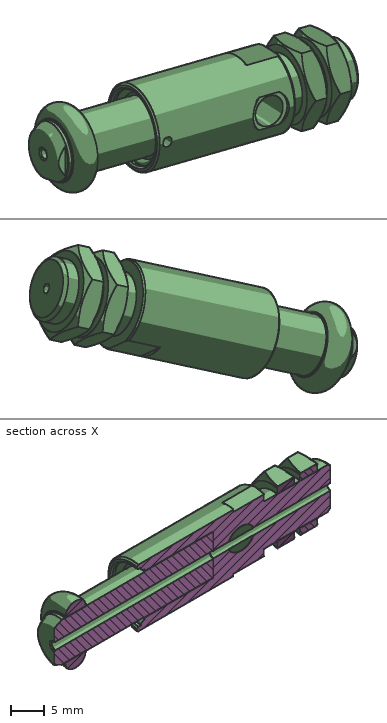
import cadquery as cq
import math

OVERALL_LENGTH = 54.2

BODY_DIA = 14.0
BODY_START = 13.0
BODY_END = 38.0
SHOULDER_CHAMFER_LENGTH = 0.3
SHOULDER_CHAMFER_DEPTH = 0.2
STEM_DIA = 10.0
STEM_CHAMFER = 0.54
BODY_FLAT_WIDTH = 13.0
BODY_FLAT_LENGTH = 6.0

MOUTH_DIA = 12.0
MOUTH_CHAMFER = 0.3
MOUTH_DEPTH = 0.8
LIP_DIA = 10.4
LIP_RADIUS = 0.75

PORT_DIA = 5.0
SPOTFACE_DIA = 6.5
SPOTFACE_DEPTH = 0.55
PORT_POSITION = 17.5
VENT_DIA = 1.6
VENT_POSITION = 36.3

PASSAGE_DIA = 1.5
NOSE_PASSAGE_DIA = 1.65
PASSAGE_CHAMFER = 0.22

NUT_FLAT_WIDTH = 13.0
NUT_THICKNESS = 3.5
NUT_FACE_DIA = 12.5
NUT_CHAMFER_ANGLE = 30.0
NUT_POSITIONS = (2.5, 7.0)

ROD_DIA = 9.5
ROD_START = 23.0
NOSE_START = 52.7
NOSE_TIP_DIA = 7.8
NOSE_TIP_FILLET = 0.2
NOSE_FLAT_WIDTH = 8.0
NOSE_FLAT_START = 52.8

BUMPER_DIA = 14.0
BUMPER_START = 48.0
BUMPER_THICKNESS = 4.0
BUMPER_LIP = 0.15


def revolve_about_y(outline):
    """Turn a closed outline, drawn with X as radius, around the Y axis."""
    return outline.close().revolve(360, (0, 0, 0), (0, 1, 0))


def cylinder(diameter, start, end):
    """Round bar on the Y axis between two distances from the rear end."""
    bar = cq.Workplane("XZ", origin=(0, -start, 0)).circle(diameter / 2)
    return bar.extrude(end - start)


def side_hole(diameter, position, inner_x):
    """Cutter for a hole along X, from inner_x out to the +X side of the body."""
    hole = cq.Workplane("YZ", origin=(inner_x, -position, 0)).circle(diameter / 2)
    return hole.extrude(BODY_DIA / 2 - inner_x)


def side_flats(width, start, end, bar_dia):
    """Pair of cutters that leave the given width along Z between two axial distances."""
    length = end - start
    depth = bar_dia - width / 2
    offset = (width + depth) / 2
    centers = [(0, -(start + length / 2), side * offset) for side in (1, -1)]
    return cq.Workplane("XY").pushPoints([(0, 0)]).newObject(
        [cq.Solid.makeBox(2 * bar_dia, length, depth,
                          cq.Vector(x - bar_dia, y - length / 2, z - depth / 2))
         for x, y, z in centers]
    ).combine()


def make_housing():
    stem_radius = STEM_DIA / 2
    body_radius = BODY_DIA / 2
    housing = revolve_about_y(
        cq.Workplane("XY")
        .lineTo(stem_radius - STEM_CHAMFER, 0)
        .lineTo(stem_radius, -STEM_CHAMFER)
        .lineTo(stem_radius, -BODY_START)
        .lineTo(body_radius - SHOULDER_CHAMFER_DEPTH, -BODY_START)
        .lineTo(body_radius, -BODY_START - SHOULDER_CHAMFER_LENGTH)
        .lineTo(body_radius, -BODY_END + MOUTH_CHAMFER)
        .lineTo(body_radius - MOUTH_CHAMFER, -BODY_END)
        .lineTo(0, -BODY_END)
    )
    flats_end = BODY_START + BODY_FLAT_LENGTH
    housing = housing.cut(side_flats(BODY_FLAT_WIDTH, BODY_START, flats_end, BODY_DIA))

    rod_radius = ROD_DIA / 2
    mouth_radius = MOUTH_DIA / 2
    mouth_floor = BODY_END - MOUTH_DEPTH
    lip_bore_radius = LIP_DIA / 2
    lip_top = lip_bore_radius + LIP_RADIUS
    lip_mid = LIP_RADIUS * (1 - math.sqrt(0.5))
    rod_bore = revolve_about_y(
        cq.Workplane("XY")
        .moveTo(0, -ROD_START)
        .lineTo(rod_radius, -ROD_START)
        .lineTo(rod_radius, -mouth_floor + LIP_RADIUS)
        .lineTo(lip_bore_radius, -mouth_floor + LIP_RADIUS)
        .threePointArc((lip_bore_radius + lip_mid, -mouth_floor + lip_mid), (lip_top, -mouth_floor))
        .lineTo(mouth_radius, -mouth_floor)
        .lineTo(mouth_radius, -BODY_END + MOUTH_CHAMFER)
        .lineTo(mouth_radius + MOUTH_CHAMFER, -BODY_END)
        .lineTo(0, -BODY_END)
    )
    housing = housing.cut(rod_bore).cut(cylinder(PASSAGE_DIA, 0, ROD_START))

    spotface_x = body_radius - SPOTFACE_DEPTH
    housing = housing.cut(side_hole(SPOTFACE_DIA, PORT_POSITION, spotface_x))
    housing = housing.cut(side_hole(PORT_DIA, PORT_POSITION, 0))
    return housing.cut(side_hole(VENT_DIA, VENT_POSITION, rod_radius))


def make_nut(start):
    corner_dia = NUT_FLAT_WIDTH / math.cos(math.pi / 6)
    hexagon = (
        cq.Workplane("XZ", origin=(0, -start, 0))
        .polygon(6, corner_dia)
        .extrude(NUT_THICKNESS)
    )
    face_radius = NUT_FACE_DIA / 2
    corner_radius = corner_dia / 2
    corner_drop = (corner_radius - face_radius) * math.tan(math.radians(NUT_CHAMFER_ANGLE))
    end = start + NUT_THICKNESS
    chamfered_blank = revolve_about_y(
        cq.Workplane("XY")
        .moveTo(0, -start)
        .lineTo(face_radius, -start)
        .lineTo(corner_radius, -start - corner_drop)
        .lineTo(corner_radius, -end + corner_drop)
        .lineTo(face_radius, -end)
        .lineTo(0, -end)
    )
    return hexagon.intersect(chamfered_blank).cut(cylinder(STEM_DIA, start, end))


def make_plunger():
    rod_radius = ROD_DIA / 2
    plunger = revolve_about_y(
        cq.Workplane("XY")
        .moveTo(0, -ROD_START)
        .lineTo(rod_radius, -ROD_START)
        .lineTo(rod_radius, -NOSE_START)
        .lineTo(NOSE_TIP_DIA / 2, -OVERALL_LENGTH)
        .lineTo(0, -OVERALL_LENGTH)
    )
    plunger = plunger.faces("<Y").edges().fillet(NOSE_TIP_FILLET)
    flats = side_flats(NOSE_FLAT_WIDTH, NOSE_FLAT_START, OVERALL_LENGTH, ROD_DIA)
    plunger = plunger.cut(flats.rotate((0, 0, 0), (0, 1, 0), 90))
    passage = cylinder(NOSE_PASSAGE_DIA, ROD_START, OVERALL_LENGTH)
    mouth_radius = NOSE_PASSAGE_DIA / 2 + PASSAGE_CHAMFER
    mouth = revolve_about_y(
        cq.Workplane("XY")
        .moveTo(0, -OVERALL_LENGTH)
        .lineTo(mouth_radius, -OVERALL_LENGTH)
        .lineTo(0, -OVERALL_LENGTH + mouth_radius)
    )
    return plunger.cut(passage).cut(mouth)


def make_bumper():
    rim_radius = BUMPER_THICKNESS / 2
    bore_radius = ROD_DIA / 2
    outer_radius = BUMPER_DIA / 2
    flat_radius = outer_radius - rim_radius
    end = BUMPER_START + BUMPER_THICKNESS
    return revolve_about_y(
        cq.Workplane("XY")
        .moveTo(bore_radius, -BUMPER_START + BUMPER_LIP)
        .lineTo(flat_radius, -BUMPER_START + BUMPER_LIP)
        .lineTo(flat_radius, -BUMPER_START)
        .threePointArc((outer_radius, -BUMPER_START - rim_radius), (flat_radius, -end))
        .lineTo(flat_radius, -end - BUMPER_LIP)
        .lineTo(bore_radius, -end - BUMPER_LIP)
    )


housing = make_housing()
nuts = [make_nut(position) for position in NUT_POSITIONS]
plunger = make_plunger()
bumper = make_bumper()

result = cq.Compound.makeCompound(
    [housing.val(), *[nut.val() for nut in nuts], plunger.val(), bumper.val()]
)